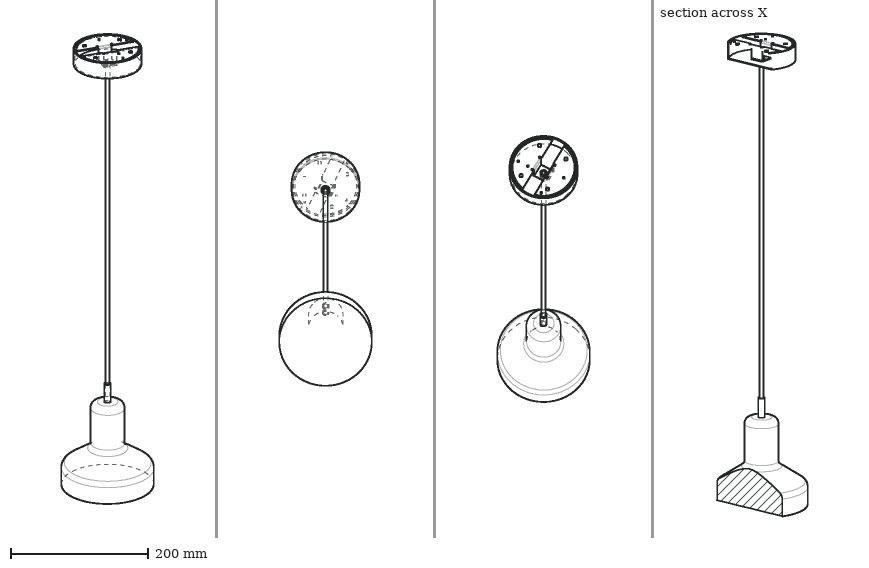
import cadquery as cq
import math

TOTAL_HEIGHT = 704.25

SHADE_DIAMETER = 135.39
SHADE_HEIGHT = 133.5
SHADE_RIM_HEIGHT = 27.0
SHADE_CONE_ANGLE = 34.8
NECK_DIAMETER = 50.0
SHADE_FILLET = 10.0

CORD_DIAMETER = 6.0

SLEEVE_DIAMETER = 10.0
SLEEVE_HEIGHT = 29.0

CANOPY_DIAMETER = 99.6
CANOPY_INNER_DIAMETER = 95.2
CANOPY_HEIGHT = 25.5
CANOPY_BOTTOM_FILLET = 1.5

GLAND_DIAMETER = 13.0
GLAND_TIP_DIAMETER = 7.0
GLAND_DROP = 2.5
GLAND_BORE_DIAMETER = 10.0

BRACKET_DIAMETER = 90.5
BRACKET_THICKNESS = 1.5
BRACKET_CHANNEL_WIDTH = 19.5
BRACKET_SADDLE_LENGTH = 20.5
BRACKET_BEND_RADIUS = 3.0
RELIEF_WIDTH = 2.0
RELIEF_REACH = 4.0
FIXING_HOLE_DIAMETER = 5.0
FIXING_HOLE_X = 22.0
FIXING_HOLE_Y = 27.5
SMALL_HOLE_DIAMETER = 2.5
SMALL_HOLE_POINTS = [(-17.0, 37.0), (21.0, 9.5), (37.0, 9.5), (-34.0, 0.0)]

CANOPY_BOTTOM = TOTAL_HEIGHT - CANOPY_HEIGHT
CANOPY_WALL = (CANOPY_DIAMETER - CANOPY_INNER_DIAMETER) / 2
CANOPY_FLOOR = CANOPY_BOTTOM + CANOPY_WALL
SADDLE_TOP = CANOPY_FLOOR + BRACKET_THICKNESS


def cylinder(diameter, bottom, top):
    """Vertical cylinder on the Z axis between two heights."""
    return cq.Workplane("XY").workplane(offset=bottom).circle(diameter / 2).extrude(top - bottom)


def make_shade():
    """Turned shade: rim, filleted shoulder, cone, filleted neck with a rounded top."""
    angle = math.radians(SHADE_CONE_ANGLE)
    rim_radius = SHADE_DIAMETER / 2
    neck_radius = NECK_DIAMETER / 2
    turn = math.pi / 2 - angle
    fillet_run = SHADE_FILLET * (1 - math.cos(turn))
    fillet_rise = SHADE_FILLET * math.sin(turn)
    mid_run = SHADE_FILLET * (1 - math.cos(turn / 2))
    mid_rise = SHADE_FILLET * math.sin(turn / 2)

    cone_low_radius = rim_radius - fillet_run
    cone_low_z = SHADE_RIM_HEIGHT + fillet_rise
    cone_high_radius = neck_radius + fillet_run
    cone_high_z = cone_low_z + (cone_low_radius - cone_high_radius) * math.tan(angle)
    neck_low_z = cone_high_z + fillet_rise

    shoulder_mid = (rim_radius - mid_run, SHADE_RIM_HEIGHT + mid_rise)
    base_mid = (neck_radius + mid_run, neck_low_z - mid_rise)
    profile = (
        cq.Workplane("XZ")
        .lineTo(rim_radius, 0)
        .lineTo(rim_radius, SHADE_RIM_HEIGHT)
        .threePointArc(shoulder_mid, (cone_low_radius, cone_low_z))
        .lineTo(cone_high_radius, cone_high_z)
        .threePointArc(base_mid, (neck_radius, neck_low_z))
        .lineTo(neck_radius, SHADE_HEIGHT)
        .lineTo(0, SHADE_HEIGHT)
        .close()
    )
    shade = profile.revolve(360, (0, 0, 0), (0, 1, 0))
    return shade.faces(">Z").edges().fillet(SHADE_FILLET)


def make_sleeve():
    """Cord sleeve standing on the neck, bored for the cord."""
    top = SHADE_HEIGHT + SLEEVE_HEIGHT
    return cylinder(SLEEVE_DIAMETER, SHADE_HEIGHT, top).cut(cylinder(CORD_DIAMETER, SHADE_HEIGHT, top))


def make_cord():
    """Cord from the neck up to the top of the gland inside the canopy."""
    return cylinder(CORD_DIAMETER, SHADE_HEIGHT, SADDLE_TOP)


def make_canopy():
    """Ceiling cup, open at the top, with a gland hole through its floor."""
    canopy = cylinder(CANOPY_DIAMETER, CANOPY_BOTTOM, TOTAL_HEIGHT)
    canopy = canopy.faces("<Z").edges().fillet(CANOPY_BOTTOM_FILLET)
    canopy = canopy.cut(cylinder(CANOPY_INNER_DIAMETER, CANOPY_FLOOR, TOTAL_HEIGHT))
    return canopy.cut(cylinder(GLAND_BORE_DIAMETER, CANOPY_BOTTOM, CANOPY_FLOOR))


def make_gland():
    """Cord gland: tapered head under the canopy and a stem up through floor and saddle."""
    stem_radius = GLAND_BORE_DIAMETER / 2
    profile = (
        cq.Workplane("XZ")
        .moveTo(CORD_DIAMETER / 2, CANOPY_BOTTOM - GLAND_DROP)
        .lineTo(GLAND_TIP_DIAMETER / 2, CANOPY_BOTTOM - GLAND_DROP)
        .lineTo(GLAND_DIAMETER / 2, CANOPY_BOTTOM)
        .lineTo(stem_radius, CANOPY_BOTTOM)
        .lineTo(stem_radius, SADDLE_TOP)
        .lineTo(CORD_DIAMETER / 2, SADDLE_TOP)
        .close()
    )
    return profile.revolve(360, (0, 0, 0), (0, 1, 0))


def make_bracket():
    """Sheet bracket: two round-edged wings joined by a U-shaped saddle on the canopy floor."""
    inner = BRACKET_CHANNEL_WIDTH / 2
    outer = inner + BRACKET_THICKNESS
    wing_bottom = TOTAL_HEIGHT - BRACKET_THICKNESS

    wings = cylinder(BRACKET_DIAMETER, wing_bottom, TOTAL_HEIGHT)
    relief_span = BRACKET_CHANNEL_WIDTH + 2 * RELIEF_REACH
    relief_length = BRACKET_SADDLE_LENGTH + 2 * RELIEF_WIDTH
    for width, length in ((BRACKET_CHANNEL_WIDTH, BRACKET_DIAMETER), (relief_span, relief_length)):
        layer = cq.Workplane("XY").workplane(offset=wing_bottom)
        wings = wings.cut(layer.rect(width, length).extrude(BRACKET_THICKNESS))

    flange_end = inner + RELIEF_REACH
    strip = (
        cq.Workplane("XZ")
        .moveTo(-flange_end, TOTAL_HEIGHT)
        .lineTo(-inner, TOTAL_HEIGHT)
        .lineTo(-inner, SADDLE_TOP)
        .lineTo(inner, SADDLE_TOP)
        .lineTo(inner, TOTAL_HEIGHT)
        .lineTo(flange_end, TOTAL_HEIGHT)
        .lineTo(flange_end, wing_bottom)
        .lineTo(outer, wing_bottom)
        .lineTo(outer, CANOPY_FLOOR)
        .lineTo(-outer, CANOPY_FLOOR)
        .lineTo(-outer, wing_bottom)
        .lineTo(-flange_end, wing_bottom)
        .close()
        .extrude(BRACKET_SADDLE_LENGTH / 2, both=True)
    )
    for side in (-1, 1):
        bend_top = cq.selectors.NearestToPointSelector((side * inner, 0, TOTAL_HEIGHT))
        bend_underside = cq.selectors.NearestToPointSelector((side * outer, 0, wing_bottom))
        strip = strip.edges("|Y").edges(bend_top).fillet(BRACKET_BEND_RADIUS)
        strip = strip.edges("|Y").edges(bend_underside).fillet(BRACKET_BEND_RADIUS - BRACKET_THICKNESS)

    bracket = wings.union(strip).cut(cylinder(GLAND_BORE_DIAMETER, CANOPY_FLOOR, SADDLE_TOP))
    fixing_points = [(x, y) for x in (-FIXING_HOLE_X, FIXING_HOLE_X) for y in (-FIXING_HOLE_Y, FIXING_HOLE_Y)]
    for points, diameter in ((fixing_points, FIXING_HOLE_DIAMETER), (SMALL_HOLE_POINTS, SMALL_HOLE_DIAMETER)):
        for x, y in points:
            bracket = bracket.cut(cylinder(diameter, wing_bottom, TOTAL_HEIGHT).translate((x, y, 0)))
    return bracket


shade = make_shade()
sleeve = make_sleeve()
cord = make_cord()
canopy = make_canopy()
gland = make_gland()
bracket = make_bracket()

result = cq.Compound.makeCompound([
    shade.val(),
    sleeve.val(),
    cord.val(),
    canopy.val(),
    gland.val(),
    bracket.val(),
])